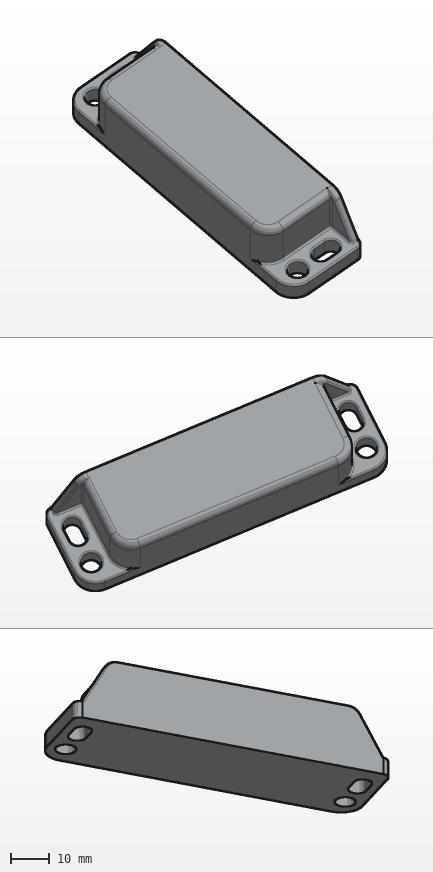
import cadquery as cq
import math

LENGTH = 88.0
WIDTH = 25.0
HEIGHT = 18.0

PLATE_THICKNESS = 4.9
FRONT_CORNER_RADIUS = 6.0
BACK_CORNER_RADIUS = 2.2
EDGE_ROUND = 0.5

BODY_LENGTH = 68.0
BODY_TOP_ROUND = 2.0

RIB_THICKNESS = 2.5
RIB_FOOT_INSET = 2.0
RIB_SLOPE_ANGLE = 60.0
RIB_TOP_RADIUS = 4.0

HOLE_INSET = 5.0
HOLE_DIAMETER = 5.5
HOLE_Y = -6.0
SLOT_WIDTH = 4.8
SLOT_CENTRE_DISTANCE = 3.5
SLOT_Y = 3.7
SLOT_INSET = 4.9

FRONT_Y = -WIDTH / 2
BACK_Y = WIDTH / 2
RIB_FRONT_Y = BACK_Y - RIB_THICKNESS
RIB_FOOT_X = LENGTH / 2 - RIB_FOOT_INSET
HOLE_X = LENGTH / 2 - HOLE_INSET
SLOT_X = LENGTH / 2 - SLOT_INSET
MARGIN = 8.8
GAP = 0.1
FINE_GAP = 0.02


def footprint(length, width, height, front_radius, back_radius):
    """Block with rounded vertical corners."""
    block = cq.Workplane("XY").box(length, width, height, centered=(True, True, False))
    block = block.edges("|Z and <Y").fillet(front_radius)
    return block.edges("|Z and >Y").fillet(back_radius)


def make_body_block():
    """Straight-walled body with rounded front corners and square back corners."""
    block = cq.Workplane("XY").box(BODY_LENGTH, WIDTH, HEIGHT, centered=(True, True, False))
    return block.edges("|Z and <Y").fillet(FRONT_CORNER_RADIUS)


def make_rib_bar():
    """Bar along the back whose sloping ends blend into the top, with its front edge rounded."""
    slope_run = (HEIGHT - PLATE_THICKNESS) / math.tan(math.radians(RIB_SLOPE_ANGLE))
    bar = (
        cq.Workplane("XZ", origin=(0, BACK_Y + MARGIN / 2, 0))
        .moveTo(-RIB_FOOT_X, 0)
        .lineTo(-RIB_FOOT_X, PLATE_THICKNESS)
        .lineTo(-RIB_FOOT_X + slope_run, HEIGHT)
        .lineTo(RIB_FOOT_X - slope_run, HEIGHT)
        .lineTo(RIB_FOOT_X, PLATE_THICKNESS)
        .lineTo(RIB_FOOT_X, 0)
        .close()
        .extrude(RIB_THICKNESS + MARGIN / 2)
    )
    bar = bar.faces(">Z").edges("|Y").fillet(RIB_TOP_RADIUS)
    front_edge = cq.selectors.BoxSelector(
        (-LENGTH, RIB_FRONT_Y - GAP, PLATE_THICKNESS + GAP), (LENGTH, RIB_FRONT_Y + GAP, HEIGHT + GAP)
    )
    return bar.edges(front_edge).fillet(EDGE_ROUND)


def make_flared_shape():
    """Oversized slab carrying body and ribs, with small rounds in the inner corners."""
    slab = cq.Workplane("XY").box(
        LENGTH + 2 * MARGIN, WIDTH + 2 * MARGIN, PLATE_THICKNESS, centered=(True, True, False)
    )
    body = make_body_block().faces(">Z").edges("not >Y").fillet(BODY_TOP_ROUND)
    shape = slab.union(body).union(make_rib_bar())
    foot = cq.selectors.BoxSelector(
        (-LENGTH / 2, FRONT_Y + GAP, PLATE_THICKNESS - GAP),
        (LENGTH / 2, BACK_Y + MARGIN / 4, PLATE_THICKNESS + GAP),
    )
    rib_joints = cq.selectors.BoxSelector(
        (-BODY_LENGTH / 2 - GAP, RIB_FRONT_Y - GAP, PLATE_THICKNESS + GAP),
        (BODY_LENGTH / 2 + GAP, RIB_FRONT_Y + EDGE_ROUND - FINE_GAP, HEIGHT),
    )
    return shape.edges(foot + rib_joints).fillet(EDGE_ROUND)


def make_envelope():
    """Space the part may fill: rounded plate, body column and a column inside the plate's rim."""
    plate = footprint(LENGTH, WIDTH, PLATE_THICKNESS, FRONT_CORNER_RADIUS, BACK_CORNER_RADIUS)
    plate = plate.faces(">Z").edges().fillet(EDGE_ROUND)
    inside_rim = footprint(
        LENGTH - 2 * EDGE_ROUND,
        WIDTH - 2 * EDGE_ROUND,
        HEIGHT,
        FRONT_CORNER_RADIUS - EDGE_ROUND,
        BACK_CORNER_RADIUS - EDGE_ROUND,
    )
    rib_column = (
        cq.Workplane("XY")
        .box(2 * RIB_FOOT_X, RIB_THICKNESS, HEIGHT, centered=(True, False, False))
        .translate((0, RIB_FRONT_Y, 0))
    )
    return plate.union(inside_rim).union(make_body_block()).union(rib_column)


def round_back_edge(housing):
    """Round the edge along the back of the ribs and the body top."""
    back_edge = cq.selectors.BoxSelector(
        (-LENGTH / 2, BACK_Y - FINE_GAP, PLATE_THICKNESS + EDGE_ROUND),
        (LENGTH / 2, BACK_Y + FINE_GAP, HEIGHT + GAP),
    )
    return housing.edges(back_edge).fillet(EDGE_ROUND)


def cut_mounting_holes(housing):
    """Cut a round hole and a slot through each end of the plate and round their upper edges."""
    for side in (-1, 1):
        hole = (
            cq.Workplane("XY")
            .center(side * HOLE_X, HOLE_Y)
            .circle(HOLE_DIAMETER / 2)
            .extrude(PLATE_THICKNESS)
        )
        slot = (
            cq.Workplane("XY")
            .center(side * SLOT_X, SLOT_Y)
            .slot2D(SLOT_CENTRE_DISTANCE + SLOT_WIDTH, SLOT_WIDTH, 90)
            .extrude(PLATE_THICKNESS)
        )
        housing = housing.cut(hole).cut(slot)
        rims = cq.selectors.BoxSelector(
            (side * HOLE_X - HOLE_DIAMETER / 2 - GAP, HOLE_Y - HOLE_DIAMETER / 2, PLATE_THICKNESS - GAP),
            (side * HOLE_X + HOLE_DIAMETER / 2 + GAP, RIB_FRONT_Y - EDGE_ROUND - GAP, PLATE_THICKNESS + GAP),
        )
        housing = housing.edges(rims).fillet(EDGE_ROUND)
    return housing


housing = round_back_edge(make_flared_shape().intersect(make_envelope()))
housing = cut_mounting_holes(housing)

result = cq.Compound.makeCompound([housing.val()])